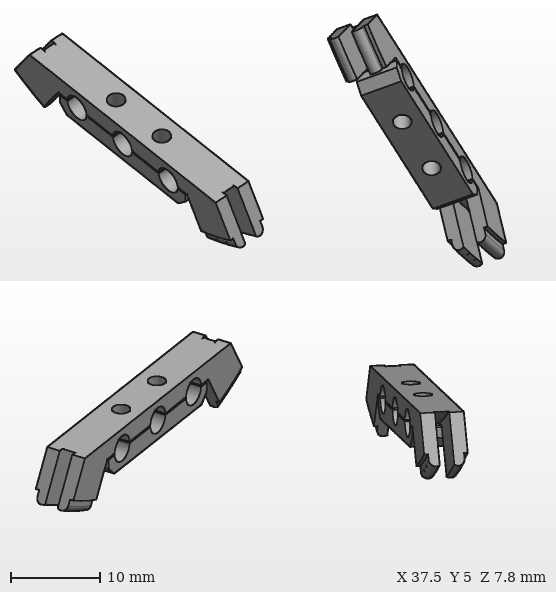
import cadquery as cq
import math

width = 5.0
half_length = 18.75
total_height = 7.8
beam_thickness = 2.4
leg_angle = 30.0
foot_tip_x = 13.9

sole_radius = 39.03
lip_height = 1.5
lip_setback = 0.45
lip_round = 0.75
sole_center_z = -total_height + math.sqrt(sole_radius**2 - foot_tip_x**2)
outer_tip_z = sole_center_z - math.sqrt(sole_radius**2 - half_length**2)
leg_slope = math.tan(math.radians(leg_angle))
top_half_length = half_length + outer_tip_z * leg_slope
inner_corner_x = foot_tip_x - (total_height - beam_thickness) * leg_slope

slot_width = 1.65
slot_top_x = 15.0
slot_floor_radius = math.hypot(slot_top_x, sole_center_z)

gap = 0.2
clamp_half_length = 10.47
clamp_bottom_z = -4.95
clamp_chamfer = 1.15
clamp_top_z = -beam_thickness - gap

cross_hole_diameter = 3.2
cross_hole_pitch = 7.6
screw_hole_diameter = 2.1
screw_hole_pitch = 7.6


def along_y(length, z=0):
    """XZ workplane at height z from which +extrusion of length is centred on Y = 0."""
    return cq.Workplane("XZ", origin=(0, length / 2, z))


def cross_holes():
    mid_gap_z = -beam_thickness - gap / 2
    holes = along_y(width, mid_gap_z).rarray(cross_hole_pitch, 0.38, 3, 1)
    return holes.circle(cross_hole_diameter / 2).extrude(width)


def screw_holes():
    holes = cq.Workplane("XY").rarray(screw_hole_pitch, 0.38, 2, 1)
    return holes.circle(screw_hole_diameter / 2).extrude(-total_height)


def bar_blank():
    """Beam with splayed legs, left overlong for the sole cylinder to trim."""
    overlong_z = -2 * total_height
    outer_x = top_half_length - overlong_z * leg_slope
    inner_x = inner_corner_x - (overlong_z + beam_thickness) * leg_slope
    outline = [
        (-top_half_length, 0),
        (top_half_length, 0),
        (outer_x, overlong_z),
        (inner_x, overlong_z),
        (inner_corner_x, -beam_thickness),
        (-inner_corner_x, -beam_thickness),
        (-inner_x, overlong_z),
        (-outer_x, overlong_z),
    ]
    return along_y(width).polyline(outline).close().extrude(width)


def sole_envelope():
    """Turned disc whose rim gives each row of prongs a shoulder and a full-round lip."""
    shoulder_radius = sole_radius - lip_height
    round_start_radius = sole_radius - lip_round
    lip_outer_y = width / 2 - lip_setback
    lip_inner_y = lip_outer_y - 2 * lip_round
    half_disc = (
        cq.Workplane("YZ", origin=(0, 0, sole_center_z))
        .lineTo(width / 2, 0)
        .lineTo(width / 2, -shoulder_radius)
        .lineTo(lip_outer_y, -shoulder_radius)
        .lineTo(lip_outer_y, -round_start_radius)
        .threePointArc((lip_outer_y - lip_round, -sole_radius), (lip_inner_y, -round_start_radius))
        .lineTo(0, -round_start_radius)
        .close()
        .revolve(360, (0, 0), (1, 0))
    )
    return half_disc.union(half_disc.mirror("XZ"))


def leg_slots():
    """Ring around the sole axis that splits each leg into two prongs."""
    ring = along_y(slot_width, sole_center_z).circle(sole_radius).circle(slot_floor_radius)
    return ring.extrude(slot_width)


def make_bar():
    bar = bar_blank().intersect(sole_envelope())
    return bar.cut(leg_slots()).cut(cross_holes()).cut(screw_holes())


def make_clamp():
    height = clamp_top_z - clamp_bottom_z
    mid_z = (clamp_top_z + clamp_bottom_z) / 2
    plate = cq.Workplane("XY", origin=(0, 0, mid_z)).box(2 * clamp_half_length, width, height)
    plate = plate.faces("<Z").edges("|Y").chamfer(clamp_chamfer)
    return plate.cut(cross_holes()).cut(screw_holes())


bar = make_bar()
clamp = make_clamp()
result = cq.Compound.makeCompound([bar.val(), clamp.val()])